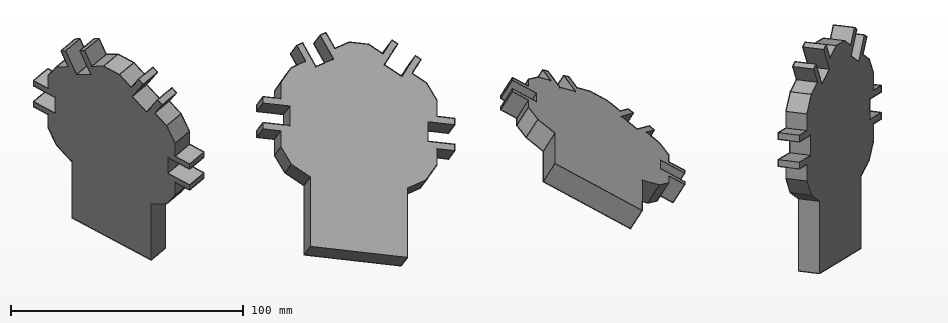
import cadquery as cq
import math

THICKNESS = 10.0
SPAN = 86.0
HEIGHT = 100.6
FACE_RADIUS = 35.0
FACE_HALF_WIDTH = 15.0
SLOT_RADIUS = 31.0
SLOT_HALF_WIDTH = 4.5
TAB_THICKNESS = 3.0
STALK_WIDTH = 43.5
STATION_ANGLE = 60
TILTED_INSET = 0.3

TAB_RADIUS = SPAN / 2
TAB_OUTSIDE = SLOT_HALF_WIDTH + TAB_THICKNESS
ANGLE = math.radians(STATION_ANGLE)
TOP = (TAB_RADIUS - TILTED_INSET) * math.sin(ANGLE) + TAB_OUTSIDE * math.cos(ANGLE)
BOTTOM = TOP - HEIGHT


def turn(point, degrees):
    """Rotate an (x, z) point about the hub axis."""
    x, z = point
    angle = math.radians(degrees)
    return (
        x * math.cos(angle) - z * math.sin(angle),
        x * math.sin(angle) + z * math.cos(angle),
    )


def station(degrees, inset):
    """Outline of one flat with its two tabs and the slot between them."""
    upper_half = [
        (SLOT_RADIUS, SLOT_HALF_WIDTH),
        (TAB_RADIUS, SLOT_HALF_WIDTH),
        (TAB_RADIUS, TAB_OUTSIDE),
        (FACE_RADIUS, TAB_OUTSIDE),
        (FACE_RADIUS, FACE_HALF_WIDTH),
    ]
    lower_half = [(x, -z) for x, z in reversed(upper_half)]
    return [turn((x - inset, z), degrees) for x, z in lower_half + upper_half]


stalk_x = STALK_WIDTH / 2
shoulder_x, shoulder_z = turn((FACE_RADIUS - TILTED_INSET, FACE_HALF_WIDTH), -STATION_ANGLE)
stalk_top = shoulder_z - (shoulder_x - stalk_x) / math.tan(ANGLE)

outline = [(stalk_x, BOTTOM), (stalk_x, stalk_top), (shoulder_x, shoulder_z)]
outline += station(0, 0)
outline += station(STATION_ANGLE, TILTED_INSET)
outline += station(180 - STATION_ANGLE, TILTED_INSET)
outline += station(180, 0)
outline += [(-shoulder_x, shoulder_z), (-stalk_x, stalk_top), (-stalk_x, BOTTOM)]

result = (
    cq.Workplane("XZ")
    .polyline(outline)
    .close()
    .extrude(THICKNESS / 2, both=True)
)